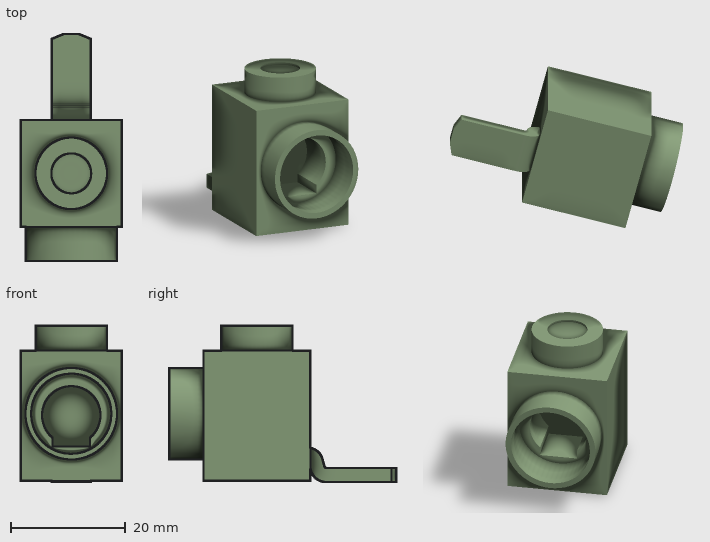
import cadquery as cq
import math

overall_length = 39.7

block_width = 17.7
block_depth = 18.65
block_height = 22.7
front_y = -block_depth / 2
rear_y = block_depth / 2

boss_diameter = 12.5
boss_height = 4.35
recess_diameter = 7.0
recess_depth = 0.4

collar_length = 6.0
collar_outer_diameter = 16.0
collar_bore_diameter = 14.0
collar_z = 11.7
collar_bore_depth = 7.35

clamp_diameter = 10.2
clamp_z = 11.45
clamp_slot_width = 6.6
clamp_slot_floor_z = 6.0
clamp_depth = 7.95

tang_width = 6.83
tang_thickness = 2.5
tang_drop = 0.25
tang_reach = overall_length - block_depth - collar_length
tang_bend_angle = math.radians(75)
tang_inner_radius = 0.25
tang_slope_length = 1.4
tang_embed = 1.6
tip_length = 0.87
tip_flat_width = 2.6


def front_cylinder(diameter, z, start_y, length):
    """Cylinder running toward +Y from start_y."""
    plane = cq.Plane(origin=(0, start_y, z), xDir=(1, 0, 0), normal=(0, 1, 0))
    return cq.Workplane(plane).circle(diameter / 2).extrude(length)


def make_housing():
    block = cq.Workplane("XY").box(block_width, block_depth, block_height, centered=(True, True, False))
    boss = cq.Workplane("XY", origin=(0, 0, block_height)).circle(boss_diameter / 2).extrude(boss_height)
    collar = front_cylinder(collar_outer_diameter, collar_z, front_y - collar_length, collar_length)
    return block.union(boss).union(collar)


def make_clamp_opening(start_y):
    slot_height = clamp_z - clamp_slot_floor_z
    slot = cq.Workplane("XY").box(clamp_slot_width, clamp_depth, slot_height, centered=(True, False, False))
    slot = slot.translate((0, start_y, clamp_slot_floor_z))
    return front_cylinder(clamp_diameter, clamp_z, start_y, clamp_depth).union(slot)


def make_tang_path(tip_y, blade_z):
    """Centreline of the strip: blade, bend up, sloped run, bend back level, root."""
    radius = tang_inner_radius + tang_thickness / 2
    angle = tang_bend_angle
    bend_y = rear_y + tang_inner_radius + tang_thickness
    half_turn = (radius * math.sin(angle / 2), radius * (1 - math.cos(angle / 2)))
    full_turn = (radius * math.sin(angle), radius * (1 - math.cos(angle)))
    slope_start = (bend_y - full_turn[0], blade_z + full_turn[1])
    slope_end = (
        slope_start[0] - tang_slope_length * math.cos(angle),
        slope_start[1] + tang_slope_length * math.sin(angle),
    )
    root_start = (slope_end[0] - full_turn[0], slope_end[1] + full_turn[1])
    return (
        cq.Workplane("YZ")
        .moveTo(tip_y, blade_z)
        .lineTo(bend_y, blade_z)
        .threePointArc((bend_y - half_turn[0], blade_z + half_turn[1]), slope_start)
        .lineTo(*slope_end)
        .threePointArc((root_start[0] + half_turn[0], root_start[1] - half_turn[1]), root_start)
        .lineTo(root_start[0] - tang_embed, root_start[1])
    )


def make_tip_corner(side):
    """Triangular wedge that bevels one corner of the tang tip."""
    tip_y = rear_y + tang_reach
    edge_x = side * tang_width / 2
    outline = [(edge_x, tip_y - tip_length), (edge_x, tip_y), (side * tip_flat_width / 2, tip_y)]
    return cq.Workplane("XY", origin=(0, 0, -tang_drop)).polyline(outline).close().extrude(tang_thickness)


def make_tang():
    tip_y = rear_y + tang_reach
    blade_z = tang_thickness / 2 - tang_drop
    section = cq.Workplane("XZ", origin=(0, tip_y, blade_z)).rect(tang_width, tang_thickness)
    tang = section.sweep(make_tang_path(tip_y, blade_z))
    for side in (-1, 1):
        tang = tang.cut(make_tip_corner(side))
    return tang


collar_face_y = front_y - collar_length
boss_top_z = block_height + boss_height
recess = cq.Workplane("XY", origin=(0, 0, boss_top_z)).circle(recess_diameter / 2).extrude(-recess_depth)
collar_bore = front_cylinder(collar_bore_diameter, collar_z, collar_face_y, collar_bore_depth)
clamp_opening = make_clamp_opening(collar_face_y + collar_bore_depth)

result = make_housing().union(make_tang()).cut(recess).cut(collar_bore).cut(clamp_opening)